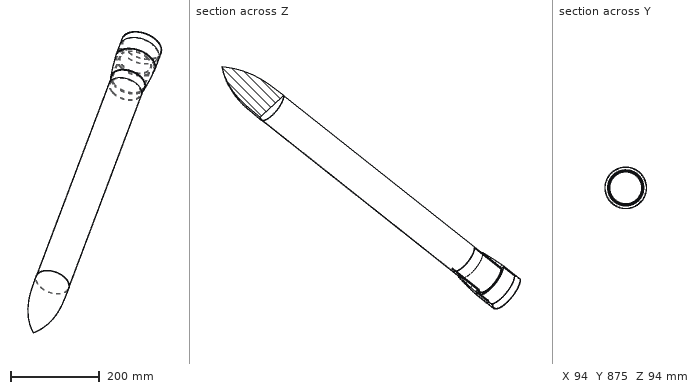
import cadquery as cq

aft_tube_diameter = 93.98
aft_sleeve_diameter = 89.9
aft_sleeve_bore = 86.36
aft_tube_length = 50.8
aft_sleeve_inset = 16.0

transition_length = 60.0
transition_front_diameter = 81.8
flare_lead = 2.0
socket_diameter = 79.0
socket_depth = 2.5

main_tube_diameter = 77.95
main_tube_bore = 76.62
coupler_diameter = 76.55
coupler_bore = 71.55
coupler_reach = 21.5

nose_base_diameter = 79.4
nose_length = 154.5

overall_length = 874.96

aft_tube_front = overall_length - aft_tube_length
transition_front = aft_tube_front - transition_length
socket_floor = transition_front + socket_depth
coupler_front = transition_front - coupler_reach
aft_sleeve_back = overall_length - aft_sleeve_inset


def tube(front, back, outer_diameter, bore):
    """Plain tube along Y between two stations."""
    rings = cq.Workplane("XZ", origin=(0, back, 0)).circle(outer_diameter / 2).circle(bore / 2)
    return rings.extrude(back - front)


def revolve_about_axis(profile):
    """Close a half profile (radius, station) and turn it about the Y axis."""
    return profile.close().revolve(360, (0, 0, 0), (0, 1, 0))


def make_transition():
    """Smooth flare from the main tube to the aft tube, with a socket for the main tube."""
    back_radius = aft_tube_diameter / 2
    front_radius = transition_front_diameter / 2
    flare = [
        (back_radius, aft_tube_front - transition_length / 3),
        (front_radius + flare_lead, transition_front + transition_length / 3),
        (front_radius, transition_front),
    ]
    return revolve_about_axis(
        cq.Workplane("XY")
        .moveTo(coupler_diameter / 2, aft_tube_front)
        .lineTo(back_radius, aft_tube_front)
        .bezier(flare, includeCurrent=True)
        .lineTo(socket_diameter / 2, transition_front)
        .lineTo(socket_diameter / 2, socket_floor)
        .lineTo(coupler_diameter / 2, socket_floor)
    )


def make_nose():
    """Solid nose whose radius falls with the cube of the distance from its base."""
    base_radius = nose_base_diameter / 2
    curve = [
        (base_radius, nose_length * 2 / 3),
        (base_radius, nose_length / 3),
        (0, 0),
    ]
    return revolve_about_axis(
        cq.Workplane("XY")
        .moveTo(0, nose_length)
        .lineTo(base_radius, nose_length)
        .bezier(curve, includeCurrent=True)
    )


aft_tube = tube(aft_tube_front, overall_length, aft_tube_diameter, aft_sleeve_diameter)
aft_sleeve = tube(aft_tube_front, aft_sleeve_back, aft_sleeve_diameter, aft_sleeve_bore)
transition = make_transition()
main_tube = tube(nose_length, socket_floor, main_tube_diameter, main_tube_bore)
coupler = tube(coupler_front, aft_tube_front, coupler_diameter, coupler_bore)
nose = make_nose()

result = cq.Compound.makeCompound(
    [
        aft_tube.val(),
        aft_sleeve.val(),
        transition.val(),
        main_tube.val(),
        coupler.val(),
        nose.val(),
    ]
)